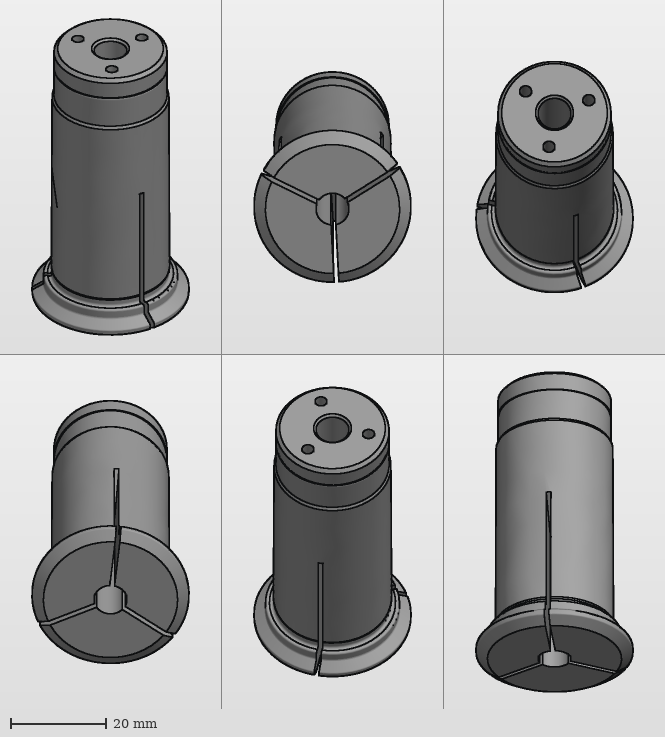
import cadquery as cq
import math

total_height = 63.0
rim_diameter = 33.0
rim_bottom_z = 1.52
rim_top_z = 2.62
flange_slope = math.radians(32)
flange_fillet = 0.4

collar_diameter = 28.2
collar_top_z = 6.15
undercut_diameter = 26.5
undercut_top_z = 6.55

neck_diameter = 24.6
neck_top_z = 7.55
body_bottom_diameter = 24.9
body_bottom_z = 7.95
body_top_diameter = 24.6
body_top_z = 50.7
head_diameter = 23.8
head_bottom_z = 51.35
head_top_diameter = 22.2

groove_bottom_z = 57.8
groove_top_z = 58.4
groove_depth = 0.2

bore_diameter = 6.92
bore_mouth_diameter = 7.94

pin_hole_diameter = 2.5
pin_hole_radius = 7.75
pin_hole_depth = 10.0
pin_floor_slope = math.radians(30)

slot_width = 1.0
slot_top_z = 33.4
slot_roof_slope = math.radians(33)

repeat_angles = (0, 120, 240)
quarter_turn = 90
position_tolerance = 0.01


def round_rings(body, heights, radius):
    """Fillet the circular edges that lie at the given heights."""
    def is_chosen(edge):
        return any(abs(edge.Center().z - z) < position_tolerance for z in heights)

    return body.edges("%CIRCLE").filter(is_chosen).fillet(radius)


def undercut_low_point():
    """Lowest point of the arc that leaves the neck vertically and rises to the collar top."""
    neck_radius = neck_diameter / 2
    width = undercut_diameter / 2 - neck_radius
    drop = undercut_top_z - collar_top_z
    arc_radius = (width**2 + drop**2) / (2 * width)
    return neck_radius + arc_radius, undercut_top_z - arc_radius


def turned_body():
    rim_radius = rim_diameter / 2
    collar_radius = collar_diameter / 2
    neck_radius = neck_diameter / 2
    head_radius = head_diameter / 2
    head_top_radius = head_top_diameter / 2
    groove_radius = head_radius - groove_depth
    flange_top_z = rim_top_z + (rim_radius - collar_radius) * math.tan(flange_slope)
    profile = (
        cq.Workplane("XZ")
        .lineTo(collar_radius, 0)
        .lineTo(rim_radius, rim_bottom_z)
        .lineTo(rim_radius, rim_top_z)
        .lineTo(collar_radius, flange_top_z)
        .lineTo(collar_radius, collar_top_z - flange_fillet)
        .tangentArcPoint((collar_radius - flange_fillet, collar_top_z), relative=False)
        .lineTo(undercut_diameter / 2, collar_top_z)
        .threePointArc(undercut_low_point(), (neck_radius, undercut_top_z))
        .lineTo(neck_radius, neck_top_z)
        .lineTo(body_bottom_diameter / 2, body_bottom_z)
        .lineTo(body_top_diameter / 2, body_top_z)
        .lineTo(head_radius, head_bottom_z)
        .lineTo(head_radius, groove_bottom_z)
        .tangentArcPoint((groove_radius, groove_top_z), relative=False)
        .lineTo(head_radius, groove_top_z)
        .lineTo(head_radius, total_height - (head_radius - head_top_radius))
        .lineTo(head_top_radius, total_height)
        .lineTo(0, total_height)
        .close()
    )
    body = profile.revolve(axisStart=(0, 0), axisEnd=(0, 1))
    rounded_heights = (rim_bottom_z, rim_top_z, flange_top_z)
    return round_rings(body, rounded_heights, flange_fillet)


def central_bore():
    bore_radius = bore_diameter / 2
    mouth_radius = bore_mouth_diameter / 2
    profile = [
        (0, 0),
        (bore_radius, 0),
        (bore_radius, total_height - (mouth_radius - bore_radius)),
        (mouth_radius, total_height),
        (0, total_height),
    ]
    return cq.Workplane("XZ").polyline(profile).close().revolve(axisStart=(0, 0), axisEnd=(0, 1))


def slot_cutter():
    """Slot on the +X side, from the axis outward, with a roof falling toward the axis."""
    body_radius = body_bottom_diameter / 2
    axis_z = slot_top_z - body_radius * math.tan(slot_roof_slope)
    outline = [
        (0, 0),
        (rim_diameter, 0),
        (rim_diameter, slot_top_z),
        (body_radius, slot_top_z),
        (0, axis_z),
    ]
    return cq.Workplane("XZ").polyline(outline).close().extrude(slot_width / 2, both=True)


def pin_hole_cutter():
    """Vertical blind hole on the +X side, its floor tilted down toward the axis."""
    hole_radius = pin_hole_diameter / 2
    floor_z = total_height - pin_hole_depth
    floor_rise = hole_radius * math.tan(pin_floor_slope)
    drill = (
        cq.Workplane("XY", origin=(pin_hole_radius, 0, floor_z - floor_rise))
        .circle(hole_radius)
        .extrude(pin_hole_depth + floor_rise)
    )
    floor_wedge = (
        cq.Workplane("XZ", origin=(pin_hole_radius, 0, floor_z))
        .polyline([
            (-hole_radius, -floor_rise),
            (hole_radius, -floor_rise),
            (hole_radius, floor_rise),
        ])
        .close()
        .extrude(hole_radius, both=True)
    )
    return drill.cut(floor_wedge)


def about_axis(shape, angle):
    return shape.rotate((0, 0, 0), (0, 0, 1), angle)


result = turned_body().cut(central_bore())
for angle in repeat_angles:
    result = result.cut(about_axis(slot_cutter(), angle))
    result = result.cut(about_axis(pin_hole_cutter(), angle + quarter_turn))